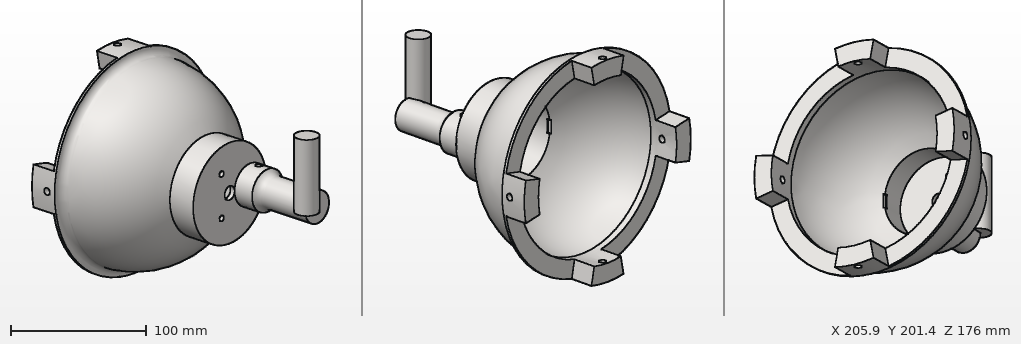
import cadquery as cq
import math

axis_angle = 31.7

rim_diameter = 176.0
mouth_diameter = 146.0
rim_thickness = 2.5
lug_length = 22.7
lug_width = 34.0
lug_count = 4
lug_hole_diameter = 5.5
upright_lug_hole_x = -17.5
side_lug_hole_x = -7.6

dome_radius = 81.4
bowl_radius = 76.5
lip_end_x = 3.7
dome_start_x = 7.5
rim_blend_x = 2.9
rim_blend_radius = 82.2

base_diameter = 80.0
base_back_x = 94.0
pocket_diameter = 67.0
pocket_floor_x = 89.8
key_slot_width = 11.0
key_slot_length = 68.4
key_slot_floor_x = 71.5
wire_hole_diameter = 11.0
screw_hole_diameter = 4.5
screw_hole_y = -8.7
screw_hole_z = 17.5

arm_y = 22.5
arm_diameter = 26.0
collar_diameter = 34.0
collar_end_x = 111.2
blend_end_x = 118.8
arm_end_x = 160.6
collar_hole_diameter = 5.5
collar_hole_x = 101.3
collar_hole_y = 23.9

post_diameter = 19.0
post_height = 60.1
post_y = 11.0

rim_radius = rim_diameter / 2
base_radius = base_diameter / 2


def x_cylinder(diameter, start_x, end_x, y=0, z=0):
    """Cylinder along local X between two stations."""
    disc = cq.Workplane("YZ", origin=(start_x, y, z)).circle(diameter / 2)
    return disc.extrude(end_x - start_x)


def height_on_sphere(radius, x):
    """Distance from the axis to a sphere centred at the origin."""
    return math.sqrt(radius**2 - x**2)


def make_shell():
    """Solid outside of rim, dome and base, revolved about the axis."""
    dome_end_x = height_on_sphere(dome_radius, base_radius)
    dome_middle = dome_radius * math.sqrt(0.5)
    profile = (
        cq.Workplane("XY")
        .moveTo(-rim_thickness, 0)
        .lineTo(-rim_thickness, rim_radius)
        .lineTo(0, rim_radius)
        .threePointArc(
            (rim_blend_x, rim_blend_radius),
            (dome_start_x, height_on_sphere(dome_radius, dome_start_x)),
        )
        .threePointArc((dome_middle, dome_middle), (dome_end_x, base_radius))
        .lineTo(base_back_x, base_radius)
        .lineTo(base_back_x, 0)
        .close()
    )
    return profile.revolve(360, (0, 0, 0), (1, 0, 0))


def make_cavity():
    """Spherical bowl behind a narrower lip, with a flat-floored pocket at its back."""
    mouth_radius = mouth_diameter / 2
    pocket_radius = pocket_diameter / 2
    bowl_middle = bowl_radius * math.sqrt(0.5)
    profile = (
        cq.Workplane("XY")
        .moveTo(-rim_thickness, 0)
        .lineTo(-rim_thickness, mouth_radius)
        .lineTo(lip_end_x, mouth_radius)
        .lineTo(lip_end_x, height_on_sphere(bowl_radius, lip_end_x))
        .threePointArc(
            (bowl_middle, bowl_middle),
            (height_on_sphere(bowl_radius, pocket_radius), pocket_radius),
        )
        .lineTo(pocket_floor_x, pocket_radius)
        .lineTo(pocket_floor_x, 0)
        .close()
    )
    return profile.revolve(360, (0, 0, 0), (1, 0, 0))


def make_lugs():
    """Ring segments with radial sides, each pierced by a radial hole."""
    half_angle = math.asin(lug_width / 2 / rim_radius)
    reach = rim_diameter
    spread = reach * math.tan(half_angle)
    ring = x_cylinder(rim_diameter, -lug_length, 0)
    ring = ring.cut(x_cylinder(mouth_diameter, -lug_length, 0))
    wedge = (
        cq.Workplane("YZ", origin=(-lug_length, 0, 0))
        .polyline([(0, 0), (-spread, reach), (spread, reach)])
        .close()
        .extrude(lug_length)
    )
    lug = ring.intersect(wedge)
    lugs = cq.Workplane("XY")
    for index in range(lug_count):
        hole_x = upright_lug_hole_x if index % 2 == 0 else side_lug_hole_x
        hole = cq.Workplane("XY").center(hole_x, 0).circle(lug_hole_diameter / 2).extrude(rim_diameter)
        lugs = lugs.add(lug.cut(hole).rotate((0, 0, 0), (1, 0, 0), index * 360 / lug_count))
    return lugs.combine()


def make_arm():
    """Collar blending through a concave fillet into the straight arm."""
    arm_radius = arm_diameter / 2
    collar_radius = collar_diameter / 2
    step = collar_radius - arm_radius
    blend_length = blend_end_x - collar_end_x
    blend_radius = (blend_length**2 + step**2) / (2 * step)
    profile = (
        cq.Workplane("XY", origin=(0, arm_y, 0))
        .moveTo(pocket_floor_x, 0)
        .lineTo(pocket_floor_x, arm_radius)
        .lineTo(base_back_x, arm_radius)
        .lineTo(base_back_x, collar_radius)
        .lineTo(collar_end_x, collar_radius)
        .radiusArc((blend_end_x, arm_radius), -blend_radius)
        .lineTo(arm_end_x, arm_radius)
        .lineTo(arm_end_x, 0)
        .close()
    )
    return profile.revolve(360, (0, 0, 0), (1, 0, 0))


def make_post():
    return cq.Workplane("XY").center(arm_end_x, post_y).circle(post_diameter / 2).extrude(post_height)


lamp = make_shell().cut(make_cavity())

key_slot = cq.Workplane("YZ").rect(key_slot_length, key_slot_width).extrude(key_slot_floor_x)
lamp = lamp.cut(key_slot)

lamp = lamp.union(make_lugs()).union(make_arm()).union(make_post())

lamp = lamp.cut(x_cylinder(wire_hole_diameter, pocket_floor_x, base_back_x))
for side in (-1, 1):
    lamp = lamp.cut(
        x_cylinder(screw_hole_diameter, pocket_floor_x, base_back_x, screw_hole_y, side * screw_hole_z)
    )

lamp = lamp.cut(
    cq.Workplane("XY", origin=(collar_hole_x, collar_hole_y, -collar_diameter / 2))
    .circle(collar_hole_diameter / 2)
    .extrude(collar_diameter)
)

result = lamp.rotate((0, 0, 0), (0, 0, 1), axis_angle)